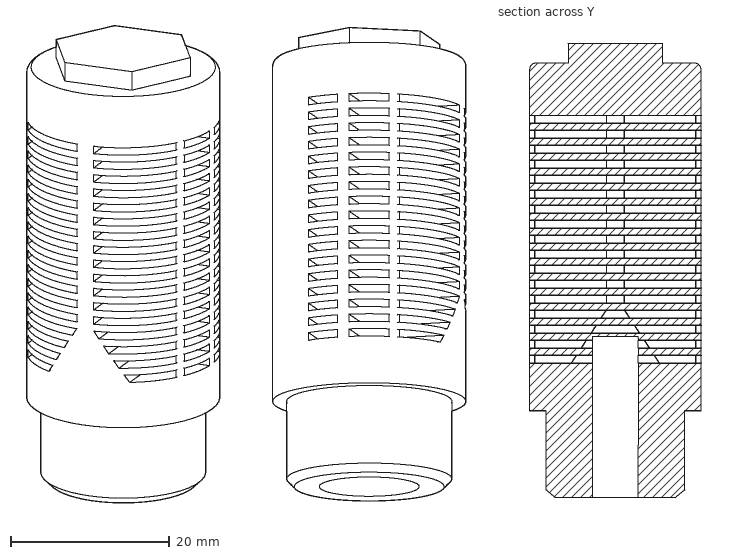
import cadquery as cq
import math

total_height = 57.5
body_radius = 12.25
body_bottom = 11.0
body_top = 55.0
body_round_width = 0.6
body_round_height = 0.8
stub_radius = 10.45
stub_chamfer = 1.0
hex_across_flats = 16.0
hex_across_corners = hex_across_flats / math.cos(math.pi / 6)

bore_radius = 6.3
bore_depth = 20.35

slot_count = 17
slot_height = 1.0
slot_pitch = 1.9
slot_bottom = 17.0

rear_bay_back = 4.8
cross_bar_half_width = 0.775
middle_bay_front = -5.65
front_bay_half_width = 10.2

rib_half_width = 1.15
rib_flare_top = 23.75
rib_foot_half_width = 5.6


def box_between(x_range, y_range, z_range):
    """Axis-aligned box between the given limits."""
    size = [end - start for start, end in (x_range, y_range, z_range)]
    corner = (x_range[0], y_range[0], z_range[0])
    return cq.Workplane("XY").box(*size, centered=False).translate(corner)


def make_body():
    stub = cq.Workplane("XY").circle(stub_radius).extrude(body_bottom)
    stub = stub.faces("<Z").chamfer(stub_chamfer)
    barrel = (
        cq.Workplane("XZ")
        .moveTo(0, body_bottom)
        .lineTo(body_radius, body_bottom)
        .lineTo(body_radius, body_top - body_round_height)
        .tangentArcPoint((body_radius - body_round_width, body_top), relative=False)
        .lineTo(0, body_top)
        .close()
        .revolve(360, (0, 0, 0), (0, 1, 0))
    )
    head = (
        cq.Workplane("XY", origin=(0, 0, body_top))
        .polygon(6, hex_across_corners)
        .extrude(total_height - body_top)
    )
    return stub.union(barrel).union(head)


def make_front_rib():
    """House-shaped rib, extruded from the middle bay out past the front of the body."""
    slots_top = slot_bottom + (slot_count - 1) * slot_pitch + slot_height
    half_outline = [
        (rib_foot_half_width, slot_bottom),
        (rib_half_width, rib_flare_top),
        (rib_half_width, slots_top),
    ]
    mirrored = [(-x, z) for x, z in reversed(half_outline)]
    return (
        cq.Workplane("XZ", origin=(0, middle_bay_front, 0))
        .polyline(half_outline + mirrored)
        .close()
        .extrude(body_radius + middle_bay_front)
    )


def make_slots():
    """All the slot voids, with the front rib left standing."""
    full_width = (-body_radius, body_radius)
    front_width = (-front_bay_half_width, front_bay_half_width)
    z_range = (slot_bottom, slot_bottom + slot_height)
    rear_bay = box_between(full_width, (cross_bar_half_width, rear_bay_back), z_range)
    middle_bay = box_between(full_width, (middle_bay_front, -cross_bar_half_width), z_range)
    front_bay = box_between(front_width, (-body_radius, middle_bay_front), z_range)
    slots = cq.Workplane("XY")
    for row in range(slot_count):
        lift = (0, 0, row * slot_pitch)
        slots.add(rear_bay.translate(lift))
        slots.add(middle_bay.union(front_bay).translate(lift).cut(make_front_rib()))
    return slots.combine()


bore = cq.Workplane("XY").circle(bore_radius).extrude(bore_depth)

result = make_body().cut(make_slots()).cut(bore)